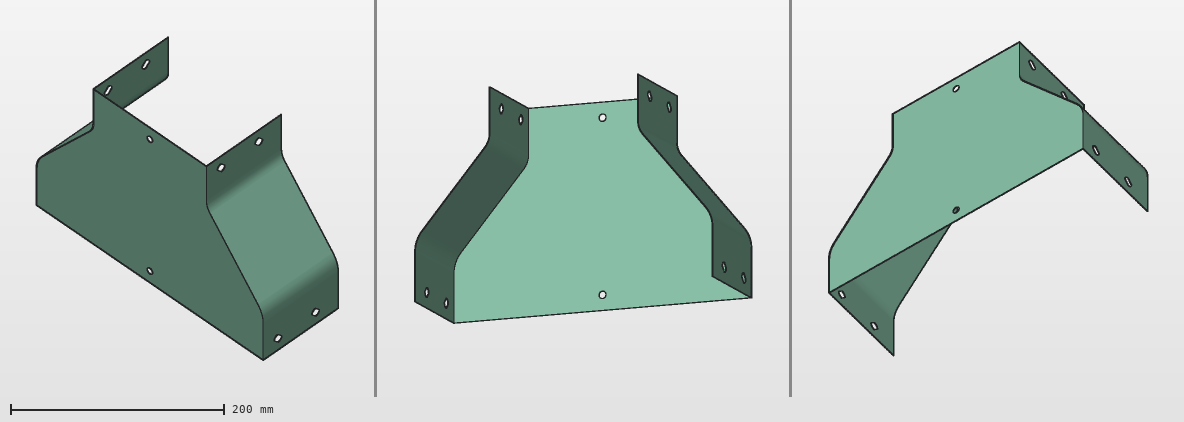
import cadquery as cq
import math

base_width = 300.0
neck_width = 150.0
depth = 100.0
height = 200.0
sheet = 0.8

shoulder_z = 59.0
neck_z = 148.1
shoulder_radius = 30.0
neck_radius = 20.0

edge_distance = 15.0
hole_diameter = 7.0
wall_hole_diameter = 10.0
wall_hole_flats = 7.0
wall_hole_tilt = 45.0
wall_hole_depths = (20.0, 70.0)

half_base = base_width / 2
half_neck = neck_width / 2
hole_heights = (edge_distance, height - edge_distance)
taper_angle = math.atan2(half_base - half_neck, neck_z - shoulder_z)


def tapered_block(inset, front_y):
    """Solid inside the outline moved inwards by inset, from front_y to the back."""
    corner_shift = inset * math.tan(taper_angle / 2)
    base_x = half_base - inset
    neck_x = half_neck - inset
    outline = [
        (-base_x, 0),
        (base_x, 0),
        (base_x, shoulder_z - corner_shift),
        (neck_x, neck_z - corner_shift),
        (neck_x, height),
        (-neck_x, height),
        (-neck_x, neck_z - corner_shift),
        (-base_x, shoulder_z - corner_shift),
    ]
    block = (
        cq.Workplane("XZ", origin=(0, front_y, 0))
        .polyline(outline)
        .close()
        .extrude(front_y - depth)
    )
    block = bend_corners(block, base_x, shoulder_z - corner_shift, shoulder_radius - inset)
    return bend_corners(block, neck_x, neck_z - corner_shift, neck_radius + inset)


def bend_corners(block, corner_x, corner_z, radius):
    """Round the mirrored pair of Y-direction edges at (+-corner_x, corner_z)."""
    reach = 1.0
    selector = None
    for side in (-1, 1):
        x = side * corner_x
        box = cq.selectors.BoxSelector(
            (x - reach, -reach, corner_z - reach),
            (x + reach, depth + reach, corner_z + reach),
        )
        selector = box if selector is None else selector + box
    return block.edges(selector).fillet(radius)


def front_holes():
    """Round holes through the front plate, on the centre line."""
    return (
        cq.Workplane("XZ")
        .pushPoints([(0, z) for z in hole_heights])
        .circle(hole_diameter / 2)
        .extrude(-sheet)
    )


def wall_holes(side):
    """Tilted double-D holes through one side wall; side is -1 for left and 1 for right."""
    start_x = 0 if side > 0 else -half_base
    centres = [(y, z) for y in wall_hole_depths for z in hole_heights]
    plane = cq.Workplane("YZ", origin=(start_x, 0, 0)).pushPoints(centres)
    round_cutters = plane.circle(wall_hole_diameter / 2).extrude(half_base)
    slot_length = wall_hole_diameter + wall_hole_flats
    slot_angle = -side * wall_hole_tilt
    flat_cutters = plane.slot2D(slot_length, wall_hole_flats, slot_angle).extrude(half_base)
    return round_cutters.intersect(flat_cutters)


shell = tapered_block(0, 0).cut(tapered_block(sheet, sheet))
result = shell.cut(front_holes()).cut(wall_holes(-1)).cut(wall_holes(1))